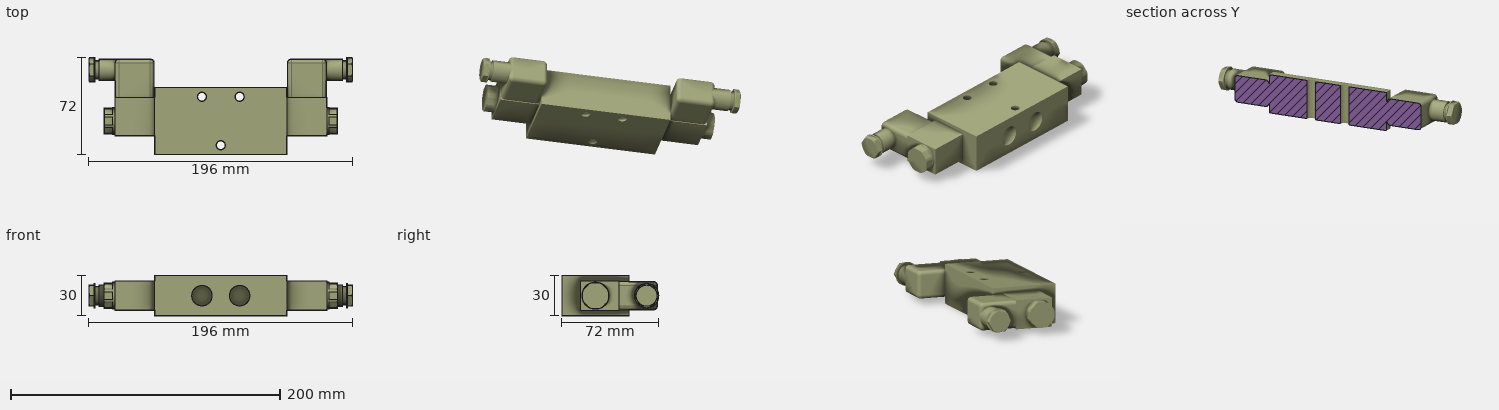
import cadquery as cq
import math


BODY_LENGTH = 98.3
BODY_WIDTH = 50.0
BODY_HEIGHT = 30.0

OPENING_OFFSET = 14.0
MOUNT_HOLE_DIAMETER = 6.5
MOUNT_HOLE_EDGE = 7.0
PORT_DIAMETER = 15.2
PORT_DEPTH = 15.0

COIL_LENGTH = 29.6
COIL_FRONT_Y = -11.0
COIL_WIDTH = 28.5
COIL_HEIGHT = 22.0

PLUG_LENGTH = 29.0
PLUG_GAP = 0.3
PLUG_WIDTH = 28.5
PLUG_HEIGHT = 21.0
PLUG_ROUND = 3.0

OVERALL_LENGTH = 196.0
OVERALL_WIDTH = 72.0
GLAND_DIAMETER = 16.0
GLAND_LENGTH = 12.0
NECK_DIAMETER = 13.7
NUT_CORNER_DIAMETER = 18.0
NUT_LENGTH = 4.7
WASHER_THICKNESS = 0.7
NUT_BEVEL_LENGTH = 0.6
NUT_BEVEL_DEPTH = 1.2

CAP_DIAMETER = 20.0
CAP_LENGTH = 7.9
CAP_FLAT_LENGTH = 6.3
CAP_FLAT_COUNT = 8
CAP_FLAT_WIDTH = 5.6

BODY_END_X = BODY_LENGTH / 2
COIL_END_X = BODY_END_X + COIL_LENGTH
COIL_BACK_Y = COIL_FRONT_Y + COIL_WIDTH
PLUG_START_X = BODY_END_X + PLUG_GAP
PLUG_END_X = PLUG_START_X + PLUG_LENGTH
NUT_END_X = OVERALL_LENGTH / 2
NUT_START_X = NUT_END_X - NUT_LENGTH
GLAND_Y = OVERALL_WIDTH - BODY_WIDTH / 2 - NUT_CORNER_DIAMETER / 2


def box_between(x_start, x_end, y_start, y_end, height):
    """Block between two X and two Y limits, centred on Z = 0."""
    return cq.Workplane("XY").box(
        x_end - x_start, y_end - y_start, height, centered=(False, False, True)
    ).translate((x_start, y_start, 0))


def x_cylinder(x_start, x_end, y, diameter):
    """Cylinder along X between two X limits, at Z = 0."""
    return (
        cq.Workplane("YZ", origin=(x_start, y, 0))
        .circle(diameter / 2)
        .extrude(x_end - x_start)
    )


def make_body():
    """Rectangular valve body with through mounting holes and two blind ports."""
    body = cq.Workplane("XY").box(BODY_LENGTH, BODY_WIDTH, BODY_HEIGHT)
    hole_y = BODY_WIDTH / 2 - MOUNT_HOLE_EDGE
    mount_points = [(-OPENING_OFFSET, hole_y), (OPENING_OFFSET, hole_y), (0, -hole_y)]
    mount_holes = (
        cq.Workplane("XY", origin=(0, 0, -BODY_HEIGHT / 2))
        .pushPoints(mount_points)
        .circle(MOUNT_HOLE_DIAMETER / 2)
        .extrude(BODY_HEIGHT)
    )
    ports = (
        cq.Workplane("XZ", origin=(0, -BODY_WIDTH / 2, 0))
        .pushPoints([(-OPENING_OFFSET, 0), (OPENING_OFFSET, 0)])
        .circle(PORT_DIAMETER / 2)
        .extrude(-PORT_DEPTH)
    )
    return body.cut(mount_holes).cut(ports)


def make_plug():
    """Connector housing with every edge rounded except those against the coil."""
    plug = box_between(
        PLUG_START_X, PLUG_END_X, COIL_BACK_Y, COIL_BACK_Y + PLUG_WIDTH, PLUG_HEIGHT
    )
    return plug.edges("|Y or >Y").fillet(PLUG_ROUND)


def make_gland():
    """Cable gland: barrel, narrower neck, washer and hexagonal nut."""
    barrel = x_cylinder(
        PLUG_END_X - PLUG_ROUND, PLUG_END_X + GLAND_LENGTH, GLAND_Y, GLAND_DIAMETER
    )
    neck = x_cylinder(PLUG_END_X, NUT_START_X, GLAND_Y, NECK_DIAMETER)
    washer = x_cylinder(
        NUT_START_X, NUT_START_X + WASHER_THICKNESS, GLAND_Y, NUT_CORNER_DIAMETER
    )
    hexagon = (
        cq.Workplane("YZ", origin=(NUT_START_X, GLAND_Y, 0))
        .polygon(6, NUT_CORNER_DIAMETER)
        .extrude(NUT_LENGTH)
    )
    corner_bevel = (
        x_cylinder(NUT_START_X, NUT_END_X, GLAND_Y, NUT_CORNER_DIAMETER)
        .faces(">X")
        .chamfer(NUT_BEVEL_LENGTH, NUT_BEVEL_DEPTH)
    )
    return barrel.union(neck).union(washer).union(hexagon.intersect(corner_bevel))


def make_cap():
    """Round retaining cap, coaxial with the body, with flats around its outer end."""
    cap_end_x = COIL_END_X + CAP_LENGTH
    cap = x_cylinder(COIL_END_X, cap_end_x, 0, CAP_DIAMETER)
    cap_radius = CAP_DIAMETER / 2
    flat_radius = math.sqrt(cap_radius**2 - (CAP_FLAT_WIDTH / 2) ** 2)
    for index in range(CAP_FLAT_COUNT):
        cutter = box_between(
            cap_end_x - CAP_FLAT_LENGTH, cap_end_x, flat_radius, CAP_DIAMETER, CAP_FLAT_WIDTH
        )
        angle = index * 360 / CAP_FLAT_COUNT
        cap = cap.cut(cutter.rotate((0, 0, 0), (1, 0, 0), angle))
    return cap


def make_solenoid():
    """Complete solenoid for the +X end of the body."""
    coil = box_between(BODY_END_X, COIL_END_X, COIL_FRONT_Y, COIL_BACK_Y, COIL_HEIGHT)
    return coil.union(make_plug()).union(make_gland()).union(make_cap())


solenoid = make_solenoid()
result = make_body().union(solenoid).union(solenoid.mirror("YZ"))